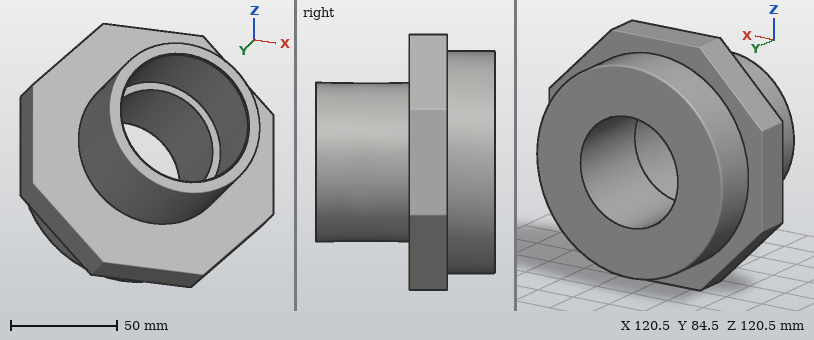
import math

import cadquery as cq


flange_sides = 8
flange_across_flats = 120.5
flange_thickness = 18.0
flange_corner_radius = 1.2
flange_rim_radius = 0.5

spigot_length = 44.0
spigot_tip_diameter = 75.2
spigot_root_diameter = 75.0
spigot_edge_radius = 0.5

collar_diameter = 105.0
collar_length = 22.5
collar_edge_radius = 1.0

socket_mouth_diameter = 63.3
socket_floor_diameter = 62.8
socket_depth = 38.0
socket_mouth_chamfer = 0.6
bore_diameter = 55.0

spigot_tip_y = -spigot_length
collar_end_y = flange_thickness + collar_length
root_y = flange_thickness / 2
socket_floor_y = spigot_tip_y + socket_depth


def revolve_about_y(profile):
    """Turn a closed (radius, y) profile about the Y axis."""
    return profile.close().revolve(360, (0, 0, 0), (0, 1, 0))


def make_flange():
    """Octagonal plate with flats square to X and Z and its corners and rims rounded."""
    half_side_angle = 180 / flange_sides
    across_corners = flange_across_flats / math.cos(math.radians(half_side_angle))
    plate = (
        cq.Workplane("XZ")
        .transformed(rotate=(0, 0, half_side_angle))
        .polygon(flange_sides, across_corners)
        .extrude(-flange_thickness)
    )
    plate = plate.edges("|Y").fillet(flange_corner_radius)
    return plate.faces("<Y or >Y").edges().fillet(flange_rim_radius)


def make_spigot():
    """Slightly tapered spigot with a rounded tip, rooted inside the flange."""
    spigot = revolve_about_y(
        cq.Workplane("XY")
        .moveTo(0, spigot_tip_y)
        .lineTo(spigot_tip_diameter / 2, spigot_tip_y)
        .lineTo(spigot_root_diameter / 2, 0)
        .lineTo(spigot_root_diameter / 2, root_y)
        .lineTo(0, root_y)
    )
    return spigot.faces("<Y").edges().fillet(spigot_edge_radius)


def make_collar():
    """Round collar with a rounded outer rim, rooted inside the flange."""
    collar = revolve_about_y(
        cq.Workplane("XY")
        .moveTo(0, collar_end_y)
        .lineTo(collar_diameter / 2, collar_end_y)
        .lineTo(collar_diameter / 2, root_y)
        .lineTo(0, root_y)
    )
    return collar.faces(">Y").edges().fillet(collar_edge_radius)


def make_passage():
    """Tapered socket with a chamfered mouth, stepping down to the through bore."""
    mouth_radius = socket_mouth_diameter / 2
    return revolve_about_y(
        cq.Workplane("XY")
        .moveTo(0, spigot_tip_y)
        .lineTo(mouth_radius + socket_mouth_chamfer, spigot_tip_y)
        .lineTo(mouth_radius, spigot_tip_y + socket_mouth_chamfer)
        .lineTo(socket_floor_diameter / 2, socket_floor_y)
        .lineTo(bore_diameter / 2, socket_floor_y)
        .lineTo(bore_diameter / 2, collar_end_y)
        .lineTo(0, collar_end_y)
    )


result = make_flange().union(make_spigot()).union(make_collar()).cut(make_passage())